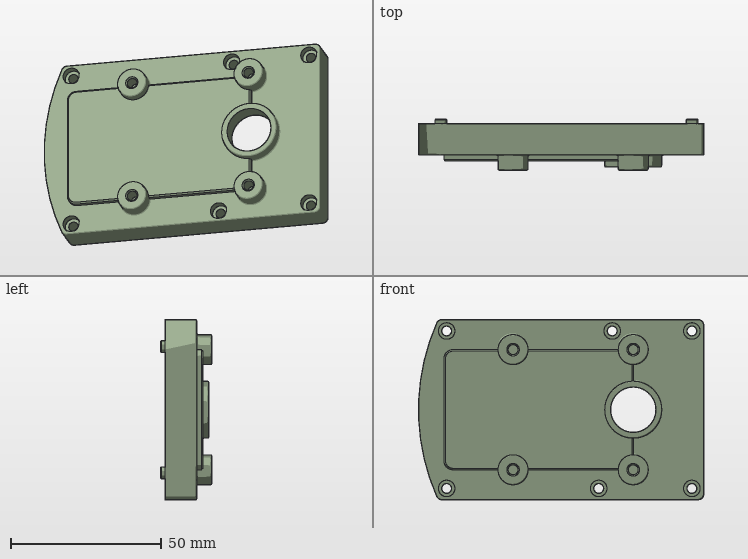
import cadquery as cq
import math


plate_height = 60.0
plate_depth = 10.5
right_edge = 23.5
nose_radius = 71.5
right_corner_radius = 2.0
nose_corner_radius = 2.0
edge_break = 0.5

panel_length = 63.0
panel_height = 40.0
panel_rise = 2.0
panel_corner_radius = 3.0

boss_diameter = 10.0
boss_rise = 5.0
boss_spacing = 40.0
boss_hole_diameter = 3.3
boss_hole_depth = 6.0
boss_hole_chamfer = 0.45
boss_centres = [
    (x, z)
    for x in (-boss_spacing, 0)
    for z in (-panel_height / 2, panel_height / 2)
]

bore_diameter = 15.0
rim_diameter = 19.0
rim_rise = 4.0

relief_diameter = 38.0
relief_depth = 7.0
bore_back_rounding = 1.0

screw_diameter = 3.2
counterbore_diameter = 5.5
counterbore_depth = 3.0
screw_z = 26.2
screw_left = -62.1
screw_right = 19.5
screw_upper_middle = -7.0
screw_lower_middle = -11.5
screw_centres = [
    (screw_left, screw_z),
    (screw_upper_middle, screw_z),
    (screw_right, screw_z),
    (screw_left, -screw_z),
    (screw_lower_middle, -screw_z),
    (screw_right, -screw_z),
]

pin_diameter = 4.0
pin_tip_chamfer = 0.25
pin_rise = 1.5
pin_left = -64.0
pin_right = 19.6
pin_z = 21.0
pin_centres = [(x, z) for x in (pin_left, pin_right) for z in (-pin_z, pin_z)]

margin = 1.0


def facing_front(depth=0.0):
    """XZ workplane at Y = -depth; positive extrusion goes toward -Y."""
    return cq.Workplane("XZ").workplane(offset=depth)


def make_plate():
    half_height = plate_height / 2
    nose_corner = -math.sqrt(nose_radius**2 - half_height**2)
    plate = (
        facing_front()
        .moveTo(right_edge, -half_height)
        .lineTo(right_edge, half_height)
        .lineTo(nose_corner, half_height)
        .threePointArc((-nose_radius, 0), (nose_corner, -half_height))
        .close()
        .extrude(plate_depth)
    )
    plate = plate.edges("|Y and >X").fillet(right_corner_radius)
    corner_box = cq.selectors.BoxSelector(
        (nose_corner - margin, -plate_depth, -half_height - margin),
        (nose_corner + margin, 0, half_height + margin),
    )
    plate = plate.edges("|Y").edges(corner_box).fillet(nose_corner_radius)
    return plate.faces("<Y").edges().fillet(edge_break)


def make_panel():
    panel = (
        facing_front(plate_depth)
        .center(-panel_length / 2, 0)
        .rect(panel_length, panel_height)
        .extrude(panel_rise)
    )
    panel = panel.edges("|Y").edges("<X").fillet(panel_corner_radius)
    return panel.faces("<Y").edges().chamfer(edge_break)


def make_raised_disc(x, z, diameter, rise):
    """Disc on the plate front with a rounded tip and a fillet flaring out at its foot."""
    radius = diameter / 2
    profile = (
        cq.Workplane("XY")
        .lineTo(radius + edge_break, 0)
        .radiusArc((radius, edge_break), edge_break)
        .lineTo(radius, rise - edge_break)
        .radiusArc((radius - edge_break, rise), -edge_break)
        .lineTo(0, rise)
        .close()
    )
    disc = profile.revolve(360, (0, 0, 0), (0, 1, 0))
    return disc.rotate((0, 0, 0), (0, 0, 1), 180).translate((x, -plate_depth, z))


def make_boss_hole(x, z):
    """Blind hole with a chamfered mouth, opening at the boss tip."""
    radius = boss_hole_diameter / 2
    profile = (
        cq.Workplane("XY")
        .lineTo(radius + boss_hole_chamfer, 0)
        .lineTo(radius, boss_hole_chamfer)
        .lineTo(radius, boss_hole_depth)
        .lineTo(0, boss_hole_depth)
        .close()
    )
    hole = profile.revolve(360, (0, 0, 0), (0, 1, 0))
    return hole.translate((x, -plate_depth - boss_rise, z))


def make_screw_holes():
    shanks = (
        facing_front(-margin)
        .pushPoints(screw_centres)
        .circle(screw_diameter / 2)
        .extrude(plate_depth + 2 * margin)
    )
    counterbores = (
        facing_front(plate_depth - counterbore_depth)
        .pushPoints(screw_centres)
        .circle(counterbore_diameter / 2)
        .extrude(counterbore_depth)
    )
    return shanks.union(counterbores)


def make_bore():
    """Through bore, rounded where it opens into the wide relief in the back face."""
    radius = bore_diameter / 2
    front = -plate_depth - rim_rise - margin
    profile = (
        cq.Workplane("XY")
        .moveTo(0, front)
        .lineTo(radius, front)
        .lineTo(radius, -relief_depth - bore_back_rounding)
        .radiusArc((radius + bore_back_rounding, -relief_depth), bore_back_rounding)
        .lineTo(relief_diameter / 2, -relief_depth)
        .lineTo(relief_diameter / 2, 0)
        .lineTo(0, 0)
        .close()
    )
    return profile.revolve(360, (0, 0, 0), (0, 1, 0))


def make_pins():
    pins = facing_front().pushPoints(pin_centres).circle(pin_diameter / 2).extrude(-pin_rise)
    return pins.faces(">Y").edges().chamfer(pin_tip_chamfer)


result = make_plate().union(make_panel())
result = result.union(make_raised_disc(0, 0, rim_diameter, rim_rise))
for boss_x, boss_z in boss_centres:
    result = result.union(make_raised_disc(boss_x, boss_z, boss_diameter, boss_rise))
    result = result.cut(make_boss_hole(boss_x, boss_z))
result = result.cut(make_screw_holes()).cut(make_bore()).union(make_pins())